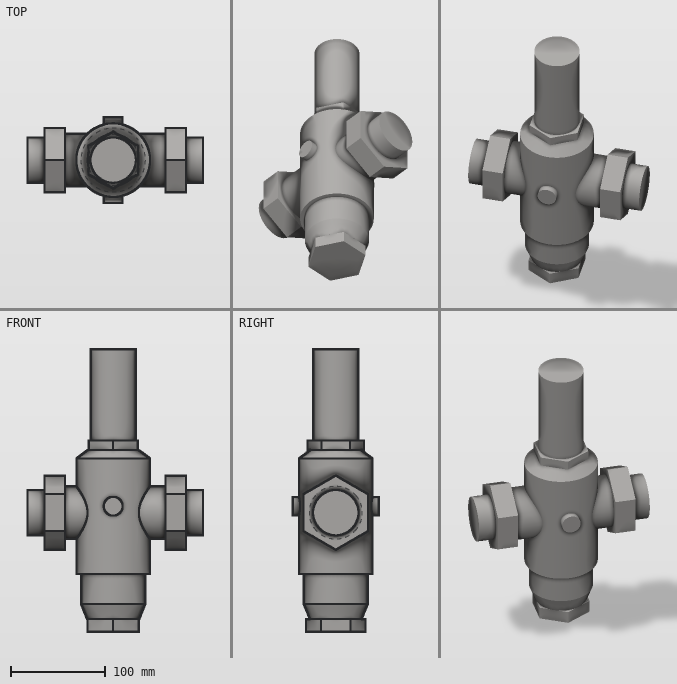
import cadquery as cq
import math


BOTTOM_Z = -126.2
BOTTOM_HEX_HEIGHT = 13.5
LOWER_CONE_HEIGHT = 16.2
LOWER_BARREL_HEIGHT = 31.5
BODY_HEIGHT = 122.3
UPPER_CONE_HEIGHT = 9.0
TOP_HEX_HEIGHT = 10.0
OVERALL_HEIGHT = 299.0

BODY_DIAMETER = 78.0
LOWER_BARREL_DIAMETER = 68.0
LOWER_CONE_END_DIAMETER = 55.0
UPPER_CONE_END_DIAMETER = 54.0
STEM_DIAMETER = 48.0
BOTTOM_HEX_FLATS = 54.5
TOP_HEX_FLATS = 52.0

OVERALL_LENGTH = 186.0
PORT_MIDPOINT_X = 2.2
NECK_DIAMETER = 56.0
PORT_END_DIAMETER = 48.0
PORT_NUT_FLATS = 68.0
PORT_NUT_START = 53.0
PORT_NUT_WIDTH = 22.0

BOSS_DIAMETER = 20.0
BOSS_SPAN = 91.0
BOSS_Z = 6.8

BOTTOM_HEX_TOP_Z = BOTTOM_Z + BOTTOM_HEX_HEIGHT
LOWER_CONE_TOP_Z = BOTTOM_HEX_TOP_Z + LOWER_CONE_HEIGHT
BODY_BOTTOM_Z = LOWER_CONE_TOP_Z + LOWER_BARREL_HEIGHT
BODY_TOP_Z = BODY_BOTTOM_Z + BODY_HEIGHT
UPPER_CONE_TOP_Z = BODY_TOP_Z + UPPER_CONE_HEIGHT
TOP_HEX_TOP_Z = UPPER_CONE_TOP_Z + TOP_HEX_HEIGHT
TOP_Z = BOTTOM_Z + OVERALL_HEIGHT


def hex_prism(plane, across_flats, start, width):
    """Hexagonal prism along the plane normal, with corners on the local Y axis."""
    across_corners = across_flats / math.cos(math.radians(30))
    return (
        cq.Workplane(plane)
        .workplane(offset=start)
        .transformed(rotate=(0, 0, 90))
        .polygon(6, across_corners)
        .extrude(width)
    )


def centered_cylinder(plane, diameter, length):
    """Cylinder along the plane normal, extending equally both ways from the origin."""
    return cq.Workplane(plane).circle(diameter / 2).extrude(length / 2, both=True)


def turned_body():
    """Round barrel with a cone at each end, revolved about Z."""
    outline = [
        (0, BOTTOM_HEX_TOP_Z),
        (LOWER_CONE_END_DIAMETER / 2, BOTTOM_HEX_TOP_Z),
        (LOWER_BARREL_DIAMETER / 2, LOWER_CONE_TOP_Z),
        (LOWER_BARREL_DIAMETER / 2, BODY_BOTTOM_Z),
        (BODY_DIAMETER / 2, BODY_BOTTOM_Z),
        (BODY_DIAMETER / 2, BODY_TOP_Z),
        (UPPER_CONE_END_DIAMETER / 2, UPPER_CONE_TOP_Z),
        (0, UPPER_CONE_TOP_Z),
    ]
    return cq.Workplane("XZ").polyline(outline).close().revolve(360, (0, 0, 0), (0, 1, 0))


def stem():
    """Round stem standing on the top hexagon."""
    return (
        cq.Workplane("XY")
        .workplane(offset=TOP_HEX_TOP_Z)
        .circle(STEM_DIAMETER / 2)
        .extrude(TOP_Z - TOP_HEX_TOP_Z)
    )


def ports():
    """Both ports: necks from the body, union nuts with corners up, round pipe ends."""
    pipe_ends = centered_cylinder("YZ", PORT_END_DIAMETER, OVERALL_LENGTH)
    necks = centered_cylinder("YZ", NECK_DIAMETER, 2 * PORT_NUT_START)
    right_nut = hex_prism("YZ", PORT_NUT_FLATS, PORT_NUT_START, PORT_NUT_WIDTH)
    left_nut = right_nut.mirror("YZ")
    both_ports = pipe_ends.union(necks).union(right_nut).union(left_nut)
    return both_ports.translate((PORT_MIDPOINT_X, 0, 0))


def side_bosses():
    """Round bosses on the front and back of the body."""
    return centered_cylinder("XZ", BOSS_DIAMETER, BOSS_SPAN).translate((0, 0, BOSS_Z))


bottom_hex = hex_prism("XY", BOTTOM_HEX_FLATS, BOTTOM_Z, BOTTOM_HEX_HEIGHT)
top_hex = hex_prism("XY", TOP_HEX_FLATS, UPPER_CONE_TOP_Z, TOP_HEX_HEIGHT)

result = (
    turned_body()
    .union(bottom_hex)
    .union(top_hex)
    .union(stem())
    .union(ports())
    .union(side_bosses())
)